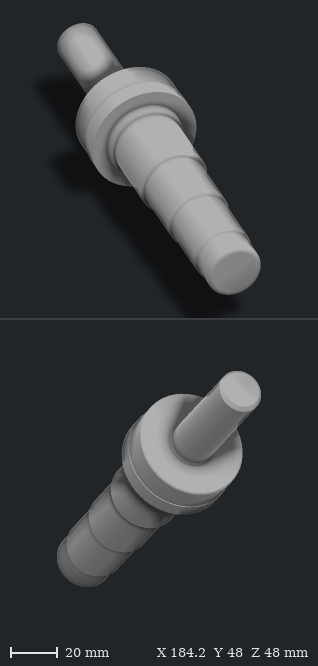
import cadquery as cq

total_length = 184.2

pilot_radius = 9.5
pilot_chamfer_length = 1.5
pilot_chamfer_depth = 1.7
root_length = 1.3
root_radius = 10.5

flange_start = 57.5
flange_step = 70.5
flange_end = 78.5
flange_radius = 24.0
flange_front_radius = 23.5
flange_chamfer = 0.5

collar_radius = 17.3
collar_edge_radius = 16.8
collar_edge = 81.5
collar_end = 82.7

body_radius = 15.5
body_end = 112.3
middle_radius = 14.0
middle_end = 141.5
seat_radius = 13.0
seat_end = 169.2
tip_radius = 12.3
step_cone_length = 1.7
tip_round = 2.2

profile = [
    (0, 0),
    (0, pilot_radius - pilot_chamfer_depth),
    (pilot_chamfer_length, pilot_radius),
    (flange_start - root_length, pilot_radius),
    (flange_start, root_radius),
    (flange_start, flange_front_radius - flange_chamfer),
    (flange_start + flange_chamfer, flange_front_radius),
    (flange_step, flange_front_radius),
    (flange_step, flange_radius),
    (flange_end, flange_radius),
    (flange_end, collar_radius),
    (collar_edge, collar_edge_radius),
    (collar_end, body_radius),
    (body_end, body_radius),
    (body_end + step_cone_length, middle_radius),
    (middle_end, middle_radius),
    (middle_end + step_cone_length, seat_radius),
    (seat_end, seat_radius),
    (seat_end + step_cone_length, tip_radius),
    (total_length, tip_radius),
    (total_length, 0),
]

spindle = cq.Workplane("XY").polyline(profile).close().revolve(360, (0, 0, 0), (1, 0, 0))

result = spindle.faces(">X").edges().fillet(tip_round)